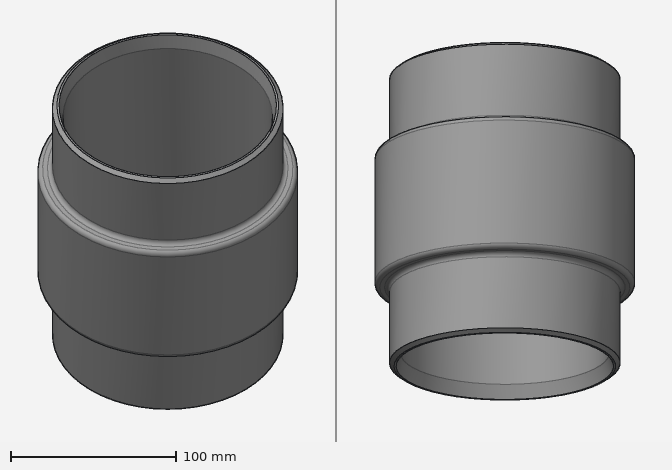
import cadquery as cq

length = 184.0
sleeve_radius = 78.5
pipe_radius = 69.7
bore_radius = 63.3
pipe_end_length = 50.0
edge_round = 3.0
root_fillet = 3.0
end_bevel_width = 2.8
end_bevel_height = 2.0
lead_in_width = 2.4
lead_in_depth = 8.8

half_length = length / 2
sleeve_length = length - 2 * pipe_end_length


def beveled_pipe():
    """Solid pipe blank with both outer end edges beveled."""
    end_radius = pipe_radius - end_bevel_width
    bevel_start = half_length - end_bevel_height
    profile = [
        (0, -half_length),
        (end_radius, -half_length),
        (pipe_radius, -bevel_start),
        (pipe_radius, bevel_start),
        (end_radius, half_length),
        (0, half_length),
    ]
    return cq.Workplane("XZ").polyline(profile).close().revolve(360, (0, 0), (0, 1))


def sleeve():
    """Thicker middle section with rounded outer edges."""
    blank = cq.Workplane("XY").cylinder(sleeve_length, sleeve_radius)
    return blank.edges("%CIRCLE").fillet(edge_round)


def fillet_shoulder_roots(body):
    """Fillet the two inner corners between pipe and sleeve shoulders."""
    shoulder_height = sleeve_length / 2
    margin = root_fillet / 2
    for side in (-1, 1):
        corner = cq.selectors.BoxSelector(
            (-pipe_radius - margin, -pipe_radius - margin, side * shoulder_height - margin),
            (pipe_radius + margin, pipe_radius + margin, side * shoulder_height + margin),
            boundingbox=True,
        )
        body = body.edges(corner).fillet(root_fillet)
    return body


def bore():
    """Through bore that flares at both mouths."""
    mouth_radius = bore_radius + lead_in_width
    taper_start = half_length - lead_in_depth
    profile = [
        (0, -half_length),
        (mouth_radius, -half_length),
        (bore_radius, -taper_start),
        (bore_radius, taper_start),
        (mouth_radius, half_length),
        (0, half_length),
    ]
    return cq.Workplane("XZ").polyline(profile).close().revolve(360, (0, 0), (0, 1))


outer_body = fillet_shoulder_roots(beveled_pipe().union(sleeve()))
result = outer_body.cut(bore())